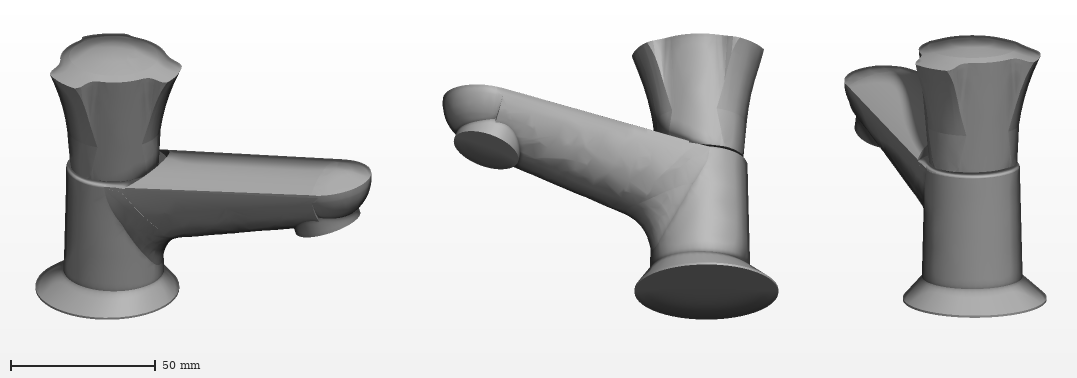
import cadquery as cq
import math


total_height = 92.31
total_length = 122.69
flange_radius = 25.0
flange_offset = 2.4
flange_disc_height = 0.75
flange_top = 7.75
column_bottom_radius = 17.5
column_top_radius = 16.5
column_top = 48.0
column_rim_fillet = 0.9

spout_tip_x = total_length - flange_radius - flange_offset
spout_tip_z = 59.8
spout_tip_radius = 15.4
spout_rise = math.radians(7.3)
spout_floor_slope = math.radians(14.9)
spout_floor_at_axis = 19.3
spout_half_width_at_axis = 16.3
spout_half_width_taper = 0.0135
spout_loft_length = 100.0
spout_wall_above_rim = 8.0
spout_wall_below_rim = 0.9
spout_fullness_at_axis = 2.5
spout_fullness_at_end = 2.0
spout_end_depth = 15.0
spout_crown_rise = 4.0
knob_clearance_radius = 19.35
spout_end_reach = math.hypot(spout_tip_radius * math.cos(spout_rise), spout_end_depth * math.sin(spout_rise))
spout_end_x = spout_tip_x - spout_end_reach
spout_end_z = spout_tip_z - spout_tip_radius * math.sin(spout_rise)

throat_radius = 14.3
throat_top_z = 46.8
throat_column_top_x = 3.0
throat_spout_top_x = 9.0
throat_column_fullness = 1.8
throat_spout_fullness = 2.3

outlet_radius = 23.6 / 2
outlet_lean = math.radians(19.0)
outlet_center_x = 80.2
outlet_center_z = 40.4
outlet_length = 10.0

lobe_count = 3
knob_bottom = 49.0
knob_neck_radius = 13.3
knob_bottom_radius = 15.65
knob_waist_radius = 16.3
knob_waist_z = 62.4
knob_flare_radius = 18.1
knob_flare_z = 71.6
knob_edge_radius = 23.8
knob_edge_z = 87.3
knob_cap_radius = 15.5
hollow_outer_radius = 40.0

hollow_floor_end = (25.5, 15.0, 18.9)
hollow_foot_middle = (31.0, 15.1, 19.4)
hollow_flank_start = (35.5, 15.2, 20.9)
hollow_flank_end = (38.6, 15.4, 23.3)
hollow_corner_middle = (40.6, 15.5, 24.15)
hollow_corner_end = (44.5, 15.65, 25.1)


def column_radius(z):
    fraction = (z - flange_top) / (column_top - flange_top)
    return column_bottom_radius + fraction * (column_top_radius - column_bottom_radius)


def rim_z(x):
    return spout_end_z + (x - spout_end_x) * math.tan(spout_rise)


def floor_z(x):
    return spout_floor_at_axis + x * math.tan(spout_floor_slope)


def bowl_points(half_width, depth, fullness, steps=16):
    """Lower half of a superellipse, from its left end to its right end."""
    points = []
    for i in range(steps + 1):
        angle = math.pi * i / steps
        across = abs(math.cos(angle)) ** (2 / fullness) * half_width
        down = abs(math.sin(angle)) ** (2 / fullness) * depth
        points.append((math.copysign(across, -math.cos(angle)), -down))
    return points


def make_foot():
    disc = (
        cq.Workplane("XY")
        .center(-flange_offset, 0)
        .circle(flange_radius)
        .extrude(flange_disc_height)
    )
    cone = (
        cq.Workplane("XY", origin=(-flange_offset, 0, flange_disc_height))
        .circle(flange_radius)
        .workplane(offset=flange_top - flange_disc_height)
        .center(flange_offset, 0)
        .circle(column_bottom_radius)
        .loft(ruled=True)
    )
    return disc.union(cone)


def make_column():
    return (
        cq.Workplane("XY", origin=(0, 0, flange_top))
        .circle(column_bottom_radius)
        .workplane(offset=column_top - flange_top)
        .circle(column_top_radius)
        .loft(ruled=True)
        .faces(">Z")
        .edges()
        .fillet(column_rim_fillet)
    )


def trough_section(x, fullness):
    """Straight walls at the rim over a rounded bowl."""
    half_width = spout_half_width_at_axis - spout_half_width_taper * x
    bowl_top = rim_z(x) - spout_wall_below_rim
    wall_top = spout_wall_above_rim + spout_wall_below_rim
    bowl = bowl_points(half_width, bowl_top - floor_z(x), fullness)
    return (
        cq.Workplane("YZ", origin=(x, 0, bowl_top))
        .moveTo(-half_width, wall_top)
        .lineTo(-half_width, 0)
        .spline(bowl[1:], tangents=[(0, -1), (0, 1)], includeCurrent=True)
        .lineTo(half_width, wall_top)
        .close()
        .wire()
        .val()
    )


def make_crown(rim_plane):
    """Cylinder along the spout that ends in a ball of the same radius."""
    radius = (spout_tip_radius**2 + spout_crown_rise**2) / (2 * spout_crown_rise)
    center = rim_plane.toWorldCoords((0, 0, spout_crown_rise - radius))
    barrel_plane = cq.Plane(origin=center, xDir=(0, 1, 0), normal=-rim_plane.xDir)
    barrel = cq.Workplane(barrel_plane).circle(radius).extrude(spout_loft_length)
    ball = cq.Workplane("XY", origin=center.toTuple()).sphere(radius)
    return barrel.union(ball)


def make_end_envelope(rim_plane):
    """Open block behind the end axis, closed in front by a round wall over an ellipsoid."""
    block = (
        cq.Workplane(rim_plane)
        .center(-spout_loft_length / 2, 0)
        .rect(spout_loft_length, 4 * spout_tip_radius)
        .extrude(spout_loft_length / 2, both=True)
    )
    profile_plane = cq.Plane(origin=rim_plane.origin, xDir=rim_plane.xDir, normal=(0, -1, 0))
    round_end = (
        cq.Workplane(profile_plane)
        .moveTo(0, spout_wall_above_rim)
        .lineTo(spout_tip_radius, spout_wall_above_rim)
        .lineTo(spout_tip_radius, 0)
        .ellipseArc(spout_tip_radius, spout_end_depth, 270, 360, startAtCurrent=True, sense=-1)
        .close()
        .revolve(360, (0, 0, 0), (0, 1, 0))
    )
    return block.union(round_end)


def make_spout():
    rim_plane = cq.Plane(
        origin=(spout_end_x, 0, spout_end_z),
        xDir=(math.cos(spout_rise), 0, math.sin(spout_rise)),
        normal=(-math.sin(spout_rise), 0, math.cos(spout_rise)),
    )
    sections = [
        trough_section(0, spout_fullness_at_axis),
        trough_section(spout_loft_length, spout_fullness_at_end),
    ]
    trough = cq.Workplane(cq.Solid.makeLoft(sections, True))
    knob_clearance = (
        cq.Workplane("XY", origin=(0, 0, column_top))
        .circle(knob_clearance_radius)
        .extrude(total_height)
    )
    return (
        trough.intersect(make_end_envelope(rim_plane))
        .intersect(make_crown(rim_plane))
        .cut(knob_clearance)
    )


def throat_section(top_x, bottom_x, bottom_z, fullness):
    """Half superellipse on a slanted plane, from the rim down to the throat arc."""
    down = cq.Vector(bottom_x - top_x, 0, bottom_z - throat_top_z)
    across = cq.Vector(0, 1, 0)
    half_width = math.sqrt(column_radius(throat_top_z) ** 2 - throat_column_top_x**2)
    plane = cq.Plane(origin=(top_x, 0, throat_top_z), xDir=across, normal=across.cross(-down))
    bowl = bowl_points(half_width, down.Length, fullness)
    return (
        cq.Workplane(plane)
        .moveTo(*bowl[0])
        .spline(bowl[1:], tangents=[(0, -1), (0, 1)], includeCurrent=True)
        .close()
        .wire()
        .val()
    )


def make_throat():
    center_x = column_bottom_radius + throat_radius
    center_z = floor_z(center_x) - throat_radius / math.cos(spout_floor_slope)
    arc_start = math.pi
    arc_end = math.pi / 2 + spout_floor_slope
    sections = []
    for fraction in (0, 0.5, 1):
        angle = arc_start + fraction * (arc_end - arc_start)
        sections.append(
            throat_section(
                throat_column_top_x + fraction * (throat_spout_top_x - throat_column_top_x),
                center_x + throat_radius * math.cos(angle),
                center_z + throat_radius * math.sin(angle),
                throat_column_fullness + fraction * (throat_spout_fullness - throat_column_fullness),
            )
        )
    return cq.Workplane(cq.Solid.makeLoft(sections))


def make_outlet():
    plane = cq.Plane(
        origin=(outlet_center_x, 0, outlet_center_z),
        xDir=(0, 1, 0),
        normal=(-math.sin(outlet_lean), 0, math.cos(outlet_lean)),
    )
    return cq.Workplane(plane).circle(outlet_radius).extrude(outlet_length)


def make_housing():
    return (
        make_column()
        .union(make_throat())
        .union(make_spout())
        .union(make_outlet())
        .union(make_foot())
    )


dome_drop = total_height - knob_edge_z
dome_radius = (knob_edge_radius**2 + dome_drop**2) / (2 * dome_drop)


def dome_point(radius):
    return (radius, total_height - dome_radius + math.sqrt(dome_radius**2 - radius**2))


def make_knob_blank():
    """Flared body on a neck that stands on the column, under a domed cap with a conical border."""
    return (
        cq.Workplane("XZ")
        .moveTo(0, column_top)
        .lineTo(knob_neck_radius, column_top)
        .lineTo(knob_neck_radius, knob_bottom)
        .lineTo(knob_bottom_radius, knob_bottom)
        .lineTo(knob_waist_radius, knob_waist_z)
        .threePointArc((knob_flare_radius, knob_flare_z), (knob_edge_radius, knob_edge_z))
        .lineTo(*dome_point(knob_cap_radius))
        .threePointArc(dome_point(knob_cap_radius / 2), (0, total_height))
        .close()
        .revolve(360, (0, 0, 0), (0, 1, 0))
    )


def hollow_section(z, level):
    """Outline of a hollow: round floor, round foot, flank and rounded lobe corner."""

    def at(outline_point, side):
        angle = math.radians(outline_point[0]) * side
        radius = outline_point[level]
        return (radius * math.cos(angle), radius * math.sin(angle))

    corner_angle = math.radians(hollow_corner_end[0])
    outer_x = hollow_outer_radius * math.cos(corner_angle)
    outer_y = hollow_outer_radius * math.sin(corner_angle)
    return (
        cq.Workplane("XY", origin=(0, 0, z))
        .moveTo(*at(hollow_floor_end, -1))
        .threePointArc((hollow_floor_end[level], 0), at(hollow_floor_end, 1))
        .threePointArc(at(hollow_foot_middle, 1), at(hollow_flank_start, 1))
        .lineTo(*at(hollow_flank_end, 1))
        .threePointArc(at(hollow_corner_middle, 1), at(hollow_corner_end, 1))
        .lineTo(outer_x, outer_y)
        .lineTo(outer_x, -outer_y)
        .lineTo(*at(hollow_corner_end, -1))
        .threePointArc(at(hollow_corner_middle, -1), at(hollow_flank_end, -1))
        .lineTo(*at(hollow_flank_start, -1))
        .threePointArc(at(hollow_foot_middle, -1), at(hollow_floor_end, -1))
        .close()
        .wire()
        .val()
    )


def make_knob():
    hollow = cq.Solid.makeLoft([hollow_section(knob_bottom, 1), hollow_section(total_height, 2)], True)
    lobe_pitch = 360 / lobe_count
    blank = make_knob_blank()
    for i in range(lobe_count):
        turned = hollow.rotate(cq.Vector(0, 0, 0), cq.Vector(0, 0, 1), (i + 0.5) * lobe_pitch)
        blank = blank.cut(cq.Workplane(turned), clean=False)
    return blank


housing = make_housing()
knob = make_knob()
result = cq.Compound.makeCompound([housing.val(), knob.val()])